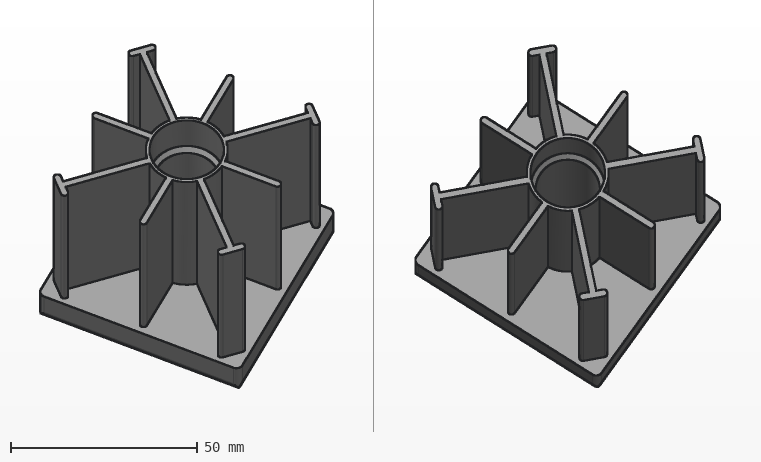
import cadquery as cq

plate_side = 60.0
plate_thickness = 10.0
plate_corner_radius = 1.8
plate_bottom_fillet = 3.0

overall_height = 54.99
tube_bore_diameter = 20.0
tube_wall = 1.0
tube_diameter = tube_bore_diameter + 2 * tube_wall
bore_depth = 11.2
through_hole_diameter = 17.29
bore_cone_height = (tube_bore_diameter - through_hole_diameter) / 2

rib_thickness = 2.0
rib_height = overall_height - plate_thickness
straight_rib_reach = 28.0
diagonal_bar_radius = 35.85
diagonal_bar_length = 7.65
rib_start = (tube_bore_diameter + tube_diameter) / 4
rib_pairs = 4
quarter_turn = 360 / rib_pairs
diagonal_turn = quarter_turn / 2


def make_plate():
    """Square plate with mitred bottom rounds, trimmed by rounded vertical corners."""
    plate = (
        cq.Workplane("XY")
        .rect(plate_side, plate_side)
        .extrude(plate_thickness)
        .faces("<Z")
        .edges()
        .fillet(plate_bottom_fillet)
    )
    corner_trim = (
        cq.Workplane("XY")
        .rect(plate_side, plate_side)
        .extrude(plate_thickness)
        .edges("|Z")
        .fillet(plate_corner_radius)
    )
    return plate.intersect(corner_trim)


def make_tube():
    """Solid outside of the central tube."""
    return cq.Workplane("XY").circle(tube_diameter / 2).extrude(overall_height)


def make_straight_rib():
    """Flat rib along +X with a fully rounded outer edge."""
    half_thickness = rib_thickness / 2
    round_center = straight_rib_reach - half_thickness
    return (
        cq.Workplane("XY", origin=(0, 0, plate_thickness))
        .moveTo(rib_start, -half_thickness)
        .lineTo(round_center, -half_thickness)
        .threePointArc((straight_rib_reach, 0), (round_center, half_thickness))
        .lineTo(rib_start, half_thickness)
        .close()
        .extrude(rib_height)
    )


def make_diagonal_rib():
    """Rib along +X ending in a round-ended crossbar, T-shaped from above."""
    web_length = diagonal_bar_radius - rib_start
    base = cq.Workplane("XY", origin=(0, 0, plate_thickness))
    web = (
        base.center(rib_start + web_length / 2, 0)
        .rect(web_length, rib_thickness)
        .extrude(rib_height)
    )
    crossbar = (
        cq.Workplane("XY", origin=(diagonal_bar_radius, 0, plate_thickness))
        .slot2D(diagonal_bar_length, rib_thickness, quarter_turn)
        .extrude(rib_height)
    )
    return web.union(crossbar)


def turned(shape, angle):
    """Copy of a shape turned about the Z axis."""
    return shape.rotate((0, 0, 0), (0, 0, 1), angle)


def make_bore():
    """Passage along Z: wide bore at the top, a cone below it, then a narrower hole."""
    cone_top = overall_height - bore_depth
    cone_bottom = cone_top - bore_cone_height
    bore_radius = tube_bore_diameter / 2
    hole_radius = through_hole_diameter / 2
    return (
        cq.Workplane("XZ")
        .moveTo(0, 0)
        .lineTo(hole_radius, 0)
        .lineTo(hole_radius, cone_bottom)
        .lineTo(bore_radius, cone_top)
        .lineTo(bore_radius, overall_height)
        .lineTo(0, overall_height)
        .close()
        .revolve(360, (0, 0, 0), (0, 1, 0))
    )


body = make_plate().union(make_tube())
straight_rib = make_straight_rib()
diagonal_rib = make_diagonal_rib()
for quarter in range(rib_pairs):
    angle = quarter * quarter_turn
    body = body.union(turned(straight_rib, angle))
    body = body.union(turned(diagonal_rib, angle + diagonal_turn))

result = body.cut(make_bore())